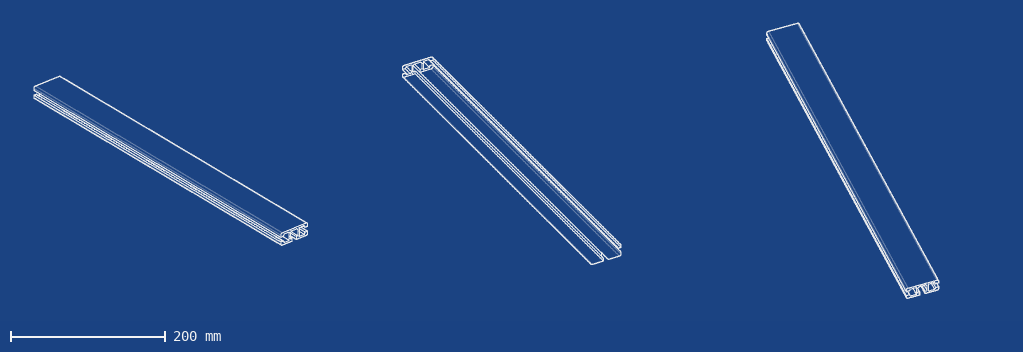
import cadquery as cq

length = 500.0
width = 45.0
height = 18.5
wall = 3.0
slot_opening = 7.0
side_lip_depth = 4.25
bottom_lip_height = 4.5
web_outer = 8.5
web_inner = 6.5
corner_radius = 2.5
lip_slope = 1.5
roof_chamfer = 2.0

half_width = width / 2
half_height = height / 2
half_opening = slot_opening / 2
roof_underside = half_height - wall
chamber_side = half_width - side_lip_depth


def rounded_bar():
    """Solid bar along X with rounded long edges."""
    return cq.Workplane("XY").box(length, width, height).edges("|X").fillet(corner_radius)


def extrude_outline(points):
    """Full-length prism from an outline of (Y, Z) points."""
    return cq.Workplane("YZ").polyline(points).close().extrude(length / 2, both=True)


def side_slot(side):
    """T-slot open to one long side; side is +1 for +Y and -1 for -Y."""
    upper = [
        (half_width, half_opening),
        (chamber_side, half_opening),
        (chamber_side - lip_slope, roof_underside),
        (web_outer, roof_underside),
    ]
    lower = [(y, -z) for y, z in reversed(upper)]
    return extrude_outline([(side * y, z) for y, z in upper + lower])


def bottom_slot():
    """T-slot between the webs, open to the bottom face."""
    lip_top = bottom_lip_height - half_height
    right = [
        (half_opening, -half_height),
        (half_opening, lip_top),
        (web_inner, lip_top),
        (web_inner, roof_underside),
    ]
    left = [(-y, z) for y, z in reversed(right)]
    return extrude_outline(right + left).edges("|X and >Z").chamfer(roof_chamfer)


result = rounded_bar().cut(bottom_slot())
for side in (1, -1):
    result = result.cut(side_slot(side))